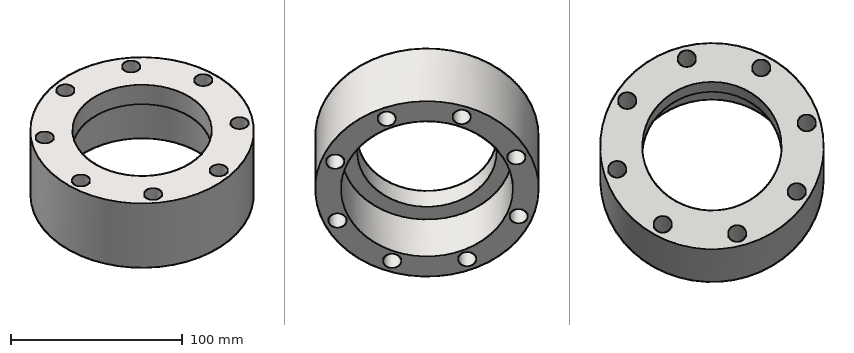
import cadquery as cq

outer_diameter = 130.0
height = 49.5
bore_diameter = 81.0

lip_thickness = 15.0
recess_diameter = 100.0
recess_depth = height - lip_thickness

hole_count = 8
hole_diameter = 10.5
hole_circle_diameter = 114.0


def ring_body():
    """Plain cylinder standing on the XY plane."""
    return cq.Workplane("XY").circle(outer_diameter / 2).extrude(height)


def stepped_bore():
    """Through bore joined to the wider recess below the lip."""
    bore = cq.Workplane("XY").circle(bore_diameter / 2).extrude(height)
    recess = cq.Workplane("XY").circle(recess_diameter / 2).extrude(recess_depth)
    return bore.union(recess)


def bolt_holes():
    """Through holes evenly spaced around the ring, the first on +X."""
    return (
        cq.Workplane("XY")
        .polarArray(hole_circle_diameter / 2, 0, 360, hole_count)
        .circle(hole_diameter / 2)
        .extrude(height)
    )


result = ring_body().cut(stepped_bore()).cut(bolt_holes())